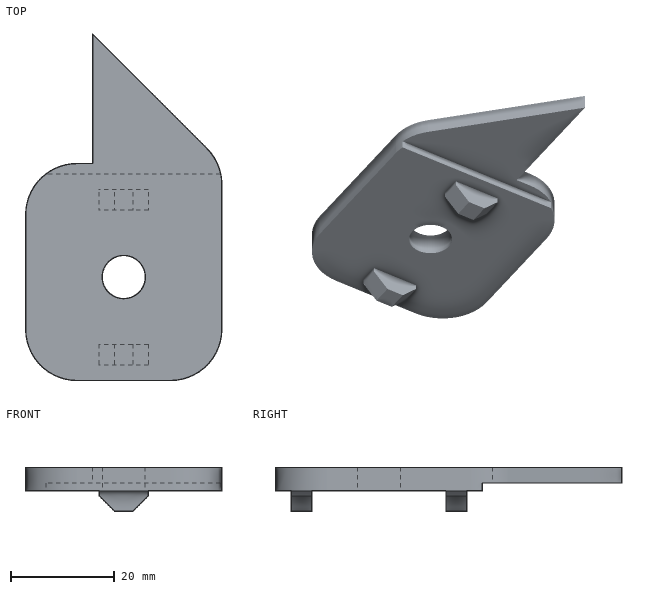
import cadquery as cq
import math

plate_width = 38.0
plate_length = 42.0
plate_thickness = 4.55
corner_radius = 10.0
hole_diameter = 8.3
hole_y = 20.0

tip_y = 67.0
pointer_inset = 13.0
pointer_thickness = 3.0
thick_length = 40.0

peg_width = 9.5
peg_depth = 4.0
peg_height = 3.95
peg_chamfer = 3.0
peg_centres_y = (5.0, 35.0)

right = plate_width / 2
left = -right
pointer_x = left + pointer_inset


def make_plate():
    """Rounded plate with a 45 degree pointer whose slanted edge blends into the right side."""
    diagonal = corner_radius * math.sqrt(0.5)
    sagitta = corner_radius - diagonal
    slant_end_x = right - sagitta
    slant_end_y = tip_y - (slant_end_x - pointer_x)
    blend_end_y = slant_end_y - diagonal
    blend_half_angle = math.radians(22.5)
    blend_mid = (
        right - corner_radius * (1 - math.cos(blend_half_angle)),
        blend_end_y + corner_radius * math.sin(blend_half_angle),
    )
    return (
        cq.Workplane("XY")
        .moveTo(left + corner_radius, 0)
        .lineTo(right - corner_radius, 0)
        .threePointArc((right - sagitta, sagitta), (right, corner_radius))
        .lineTo(right, blend_end_y)
        .threePointArc(blend_mid, (slant_end_x, slant_end_y))
        .lineTo(pointer_x, tip_y)
        .lineTo(pointer_x, plate_length)
        .lineTo(left + corner_radius, plate_length)
        .threePointArc((left + sagitta, plate_length - sagitta), (left, plate_length - corner_radius))
        .lineTo(left, corner_radius)
        .threePointArc((left + sagitta, sagitta), (left + corner_radius, 0))
        .close()
        .extrude(plate_thickness)
    )


def make_pointer_relief():
    """Block that thins the plate from below along its pointed end."""
    return cq.Workplane("XY").box(
        plate_width, tip_y - thick_length, plate_thickness - pointer_thickness,
        centered=(True, False, False),
    ).translate((0, thick_length, 0))


def make_peg(centre_y):
    """Peg hanging below the plate, with 45 degree chamfers along both lower sides."""
    return (
        cq.Workplane("XY")
        .box(peg_width, peg_depth, peg_height)
        .edges("|Y and <Z")
        .chamfer(peg_chamfer)
        .translate((0, centre_y, -peg_height / 2))
    )


hole = cq.Workplane("XY").center(0, hole_y).circle(hole_diameter / 2).extrude(plate_thickness)

result = make_plate().cut(make_pointer_relief()).cut(hole)
for peg_centre_y in peg_centres_y:
    result = result.union(make_peg(peg_centre_y))